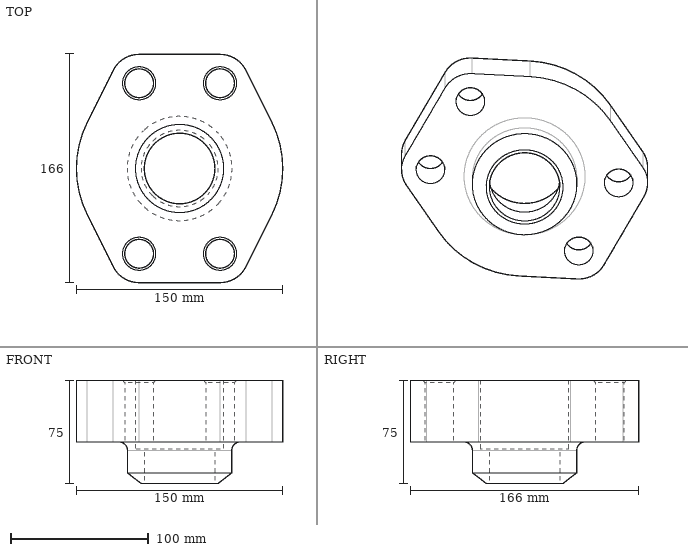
import cadquery as cq
import math

length = 166.0
side_radius = 75.0
flange_thickness = 44.8

bolt_x = 29.4
bolt_y = 62.0
bolt_diameter = 20.8
countersink_diameter = 24.0
countersink_depth = 1.7
corner_radius = length / 2 - bolt_y

total_height = 75.0
neck_diameter = 76.0
neck_fillet = 6.0
neck_tip_diameter = 55.8
neck_tip_height = 7.8

bore_diameter = 51.1
socket_diameter = 64.0
socket_depth = 49.8


def polar_point(radius, angle, center=(0, 0)):
    return (center[0] + radius * math.cos(angle), center[1] + radius * math.sin(angle))


def make_flange():
    """Plate whose slanted edges are tangent to the round sides and the corners."""
    center_distance = math.hypot(bolt_x, bolt_y)
    normal_angle = math.atan2(bolt_y, bolt_x) - math.acos((side_radius - corner_radius) / center_distance)
    corner_mid_angle = (normal_angle + math.pi / 2) / 2

    side_x, side_y = polar_point(side_radius, normal_angle)
    corner_x, corner_y = polar_point(corner_radius, normal_angle, (bolt_x, bolt_y))
    mid_x, mid_y = polar_point(corner_radius, corner_mid_angle, (bolt_x, bolt_y))
    end_y = length / 2

    return (
        cq.Workplane("XY")
        .moveTo(side_x, -side_y)
        .threePointArc((side_radius, 0), (side_x, side_y))
        .lineTo(corner_x, corner_y)
        .threePointArc((mid_x, mid_y), (bolt_x, end_y))
        .lineTo(-bolt_x, end_y)
        .threePointArc((-mid_x, mid_y), (-corner_x, corner_y))
        .lineTo(-side_x, side_y)
        .threePointArc((-side_radius, 0), (-side_x, -side_y))
        .lineTo(-corner_x, -corner_y)
        .threePointArc((-mid_x, -mid_y), (-bolt_x, -end_y))
        .lineTo(bolt_x, -end_y)
        .threePointArc((mid_x, -mid_y), (corner_x, -corner_y))
        .close()
        .extrude(-flange_thickness)
    )


def make_neck():
    """Revolved neck with a concave root fillet and a conical tip."""
    neck_radius = neck_diameter / 2
    root_radius = neck_radius + neck_fillet
    fillet_end_z = -flange_thickness - neck_fillet
    fillet_mid = polar_point(neck_fillet, math.radians(135), (root_radius, fillet_end_z))
    return (
        cq.Workplane("XZ")
        .moveTo(0, -flange_thickness)
        .lineTo(root_radius, -flange_thickness)
        .threePointArc(fillet_mid, (neck_radius, fillet_end_z))
        .lineTo(neck_radius, -total_height + neck_tip_height)
        .lineTo(neck_tip_diameter / 2, -total_height)
        .lineTo(0, -total_height)
        .close()
        .revolve(360, (0, 0, 0), (0, 1, 0))
    )


def cut_bore(body):
    bore = cq.Workplane("XY").circle(bore_diameter / 2).extrude(-total_height)
    socket = cq.Workplane("XY").circle(socket_diameter / 2).extrude(-socket_depth)
    return body.cut(bore).cut(socket)


def cut_bolt_holes(body):
    centers = [(x, y) for x in (-bolt_x, bolt_x) for y in (-bolt_y, bolt_y)]
    shaft = cq.Workplane("XY").circle(bolt_diameter / 2).extrude(-flange_thickness)
    countersink = (
        cq.Workplane("XY")
        .circle(countersink_diameter / 2)
        .workplane(offset=-countersink_depth)
        .circle(bolt_diameter / 2)
        .loft()
    )
    cutter = shaft.union(countersink)
    for x, y in centers:
        body = body.cut(cutter.translate((x, y, 0)))
    return body


result = cut_bolt_holes(cut_bore(make_flange().union(make_neck())))